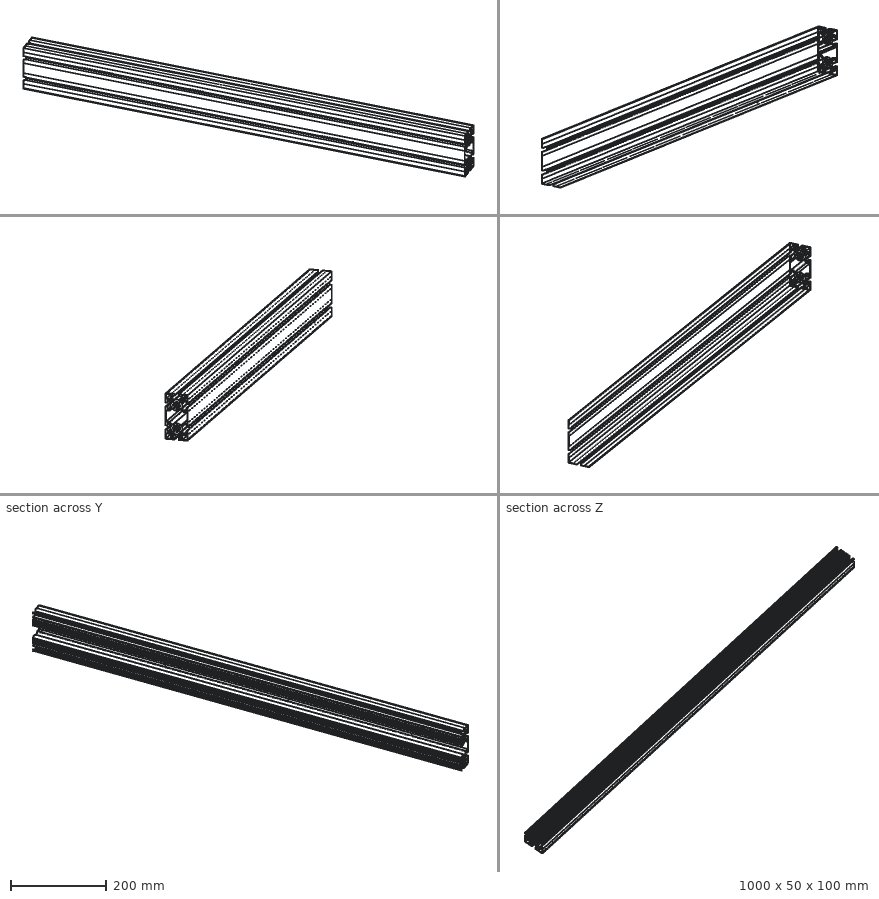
import cadquery as cq
import math

length = 1000.0
width = 50.0
height = 2 * width
corner_radius = 2.5
outer_wall = 1.8
web = 2.5

cell_offset = width / 2
face = width / 2
slot_opening = 9.0
mouth_radius = 0.8
lip_thickness = 4.0
slot_inner_width = 21.0
flank_apex = 6.0

pad_span = 25.0
pad_distance = pad_span / 2
pad_width = 10.0
core_diameter = 23.0
core_radius = core_diameter / 2
bore_radius = 5.0
lobe_count = 8
lobe_reach = 8.0
lobe_width = 2.0


def section(y=0.0, z=0.0):
    """Cross-section plane at the -X end, with its local axes along Y and Z."""
    return cq.Workplane("YZ", origin=(-length / 2, y, z))


def rod(radius, y=0.0, z=0.0):
    """Full-length round bar."""
    return section(y, z).circle(radius).extrude(length)


def flanked_prism(apex, half_outline):
    """Prism symmetric about Z: 45 degree flanks from an apex, then a half outline."""
    half_width = half_outline[0][0]
    right = [(half_width, apex + half_width)] + half_outline
    left = [(-y, z) for y, z in reversed(right)]
    return section().polyline([(0, apex)] + right + left).close().extrude(length)


def slot_void():
    """T-slot opening toward +Z with a rounded mouth, ending at the core and its pad."""
    half_opening = slot_opening / 2
    half_inner = slot_inner_width / 2
    lip = face - lip_thickness
    void = flanked_prism(flank_apex, [
        (half_inner, lip),
        (half_opening, lip),
        (half_opening, face),
    ])
    half_mouth = half_opening + mouth_radius
    mouth = face - mouth_radius
    strip = section(0, face - mouth_radius / 2).rect(2 * half_mouth, mouth_radius).extrude(length)
    for side in (1, -1):
        strip = strip.cut(rod(mouth_radius, side * half_mouth, mouth))
    pad = section(0, pad_distance / 2).rect(pad_width, pad_distance).extrude(length)
    return void.union(strip).cut(rod(core_radius)).cut(pad)


def slot_housing():
    """Solid material around one T-slot: the slot outline thickened by one web."""
    half_width = slot_inner_width / 2 + web
    return flanked_prism(flank_apex - web * math.sqrt(2), [(half_width, face)])


def bore():
    """Round bore with evenly spaced lobes."""
    void = rod(bore_radius)
    lobe = section(0, lobe_reach / 2).rect(lobe_width, lobe_reach).extrude(length)
    for i in range(lobe_count):
        void = void.union(lobe.rotate((0, 0, 0), (1, 0, 0), i * 360 / lobe_count))
    return void


def on_slot_sides(shape):
    """Copies of a shape at the outer end and both flanks of each cell."""
    copies = []
    for side, end_angle in ((1, 0), (-1, 180)):
        for angle in (end_angle, 90, -90):
            turned = shape.rotate((0, 0, 0), (1, 0, 0), angle)
            copies.append(turned.translate((0, 0, side * cell_offset)))
    return copies


hollow = section().rect(width - 2 * outer_wall, height - 2 * outer_wall).extrude(length)
for housing in on_slot_sides(slot_housing()):
    hollow = hollow.cut(housing)
for cell_z in (cell_offset, -cell_offset):
    hollow = hollow.cut(rod(core_radius, 0, cell_z))

result = section().rect(width, height).extrude(length).edges("|X").fillet(corner_radius)
result = result.cut(hollow)
for slot in on_slot_sides(slot_void()):
    result = result.cut(slot)
for cell_z in (cell_offset, -cell_offset):
    result = result.cut(bore().translate((0, 0, cell_z)))